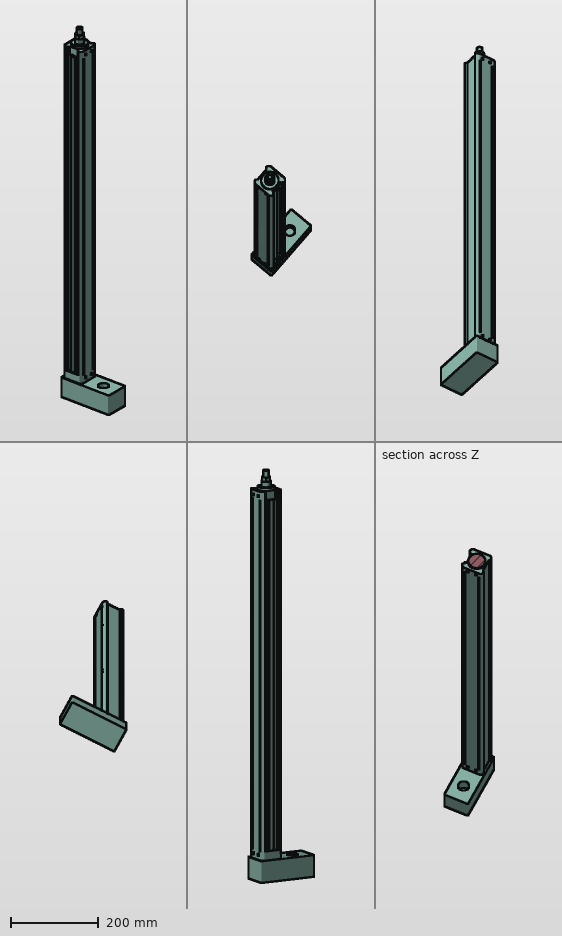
import cadquery as cq

block_length = 140.0
block_width = 60.0
block_height = 50.0
block_edge_radius = 2.0
block_left = -block_width / 2
shaft_hole_diameter = 25.0
shaft_hole_depth = 29.0
shaft_hole_x = block_left + 100.0

tube_width = 54.0
tube_top = 906.0
tube_corner_radius = 8.4
tube_face = tube_width / 2
flat_half_width = tube_face - tube_corner_radius
head_length = 21.0

slot_width = 3.0
slot_depth = 2.0
slot_bottom = block_height + head_length
slot_top = tube_top - head_length

ledge_outer_half_width = 16.0
ledge_inner_half_width = 13.0
ledge_depth = 24.0
head_floor_half_width = 12.0
head_floor_depth = 19.0
channel_floor_half_width = 10.0
channel_floor_depth = 17.0
rib_width = 9.5
rib_face_depth = 25.0

rear_groove_depth = 4.0

screw_hole_diameter = 5.0
screw_hole_depth = 4.0
screw_spacing = 21.0
screw_end_inset = 11.0
screw_heights = (block_height + screw_end_inset, tube_top - screw_end_inset)

collar_diameter = 40.0
collar_top = 913.0
rod_diameter = 22.0
hex_bottom = 925.0
hex_top = 935.0
hex_sides = 6
hex_corner_diameter = 22.0
tip_diameter = 13.0
tip_chamfer = 1.4
rod_top = 951.0


def cylinder(diameter, bottom, top):
    """Upright cylinder on the tube axis."""
    return cq.Workplane("XY").workplane(offset=bottom).circle(diameter / 2).extrude(top - bottom)


def box(x_size, y_size, bottom, top, x=0, y=0):
    """Upright box centred at (x, y)."""
    return (
        cq.Workplane("XY").workplane(offset=bottom).center(x, y).rect(x_size, y_size).extrude(top - bottom)
    )


def make_block():
    """Foot block with a blind shaft hole in its top face."""
    block = box(block_length, block_width, 0, block_height, x=block_left + block_length / 2)
    block = block.edges("|Z").fillet(block_edge_radius)
    hole = (
        cq.Workplane("XY")
        .workplane(offset=block_height - shaft_hole_depth)
        .center(shaft_hole_x, 0)
        .circle(shaft_hole_diameter / 2)
        .extrude(shaft_hole_depth)
    )
    return block.cut(hole)


def make_side_slots():
    """Slots along both edges of the flat of the two X faces."""
    slots = cq.Workplane("XY")
    for x_side in (-1, 1):
        for y_side in (-1, 1):
            x = x_side * (tube_face - slot_depth / 2)
            y = y_side * (flat_half_width - slot_width / 2)
            slots = slots.add(box(slot_depth, slot_width, slot_bottom, slot_top, x, y))
    return slots.combine()


def symmetric_groove(half_outline, bottom, top):
    """Groove in the -Y face from (half width, distance from the axis) points, mouth first."""
    left = [(-half_width, -depth) for half_width, depth in half_outline]
    right = [(half_width, -depth) for half_width, depth in reversed(half_outline)]
    return cq.Workplane("XY").workplane(offset=bottom).polyline(left + right).close().extrude(top - bottom)


def make_front_groove():
    """Ribbed groove along the body and a shallower one without a rib at the head."""
    flank = [
        (flat_half_width, tube_face),
        (ledge_outer_half_width, ledge_depth),
        (ledge_inner_half_width, ledge_depth),
    ]
    head_outline = flank + [(head_floor_half_width, head_floor_depth)]
    body_outline = flank + [(channel_floor_half_width, channel_floor_depth)]
    head = symmetric_groove(head_outline, slot_top, tube_top)
    body = symmetric_groove(body_outline, slot_bottom, slot_top)
    rib_height = rib_face_depth - channel_floor_depth
    rib_y = -(rib_face_depth + channel_floor_depth) / 2
    rib = box(rib_width, rib_height, slot_bottom, slot_top, y=rib_y)
    return body.cut(rib).union(head)


def make_rear_groove():
    """Shallow groove with 45 degree flanks in the +Y face."""
    return (
        cq.Workplane("XY")
        .workplane(offset=block_height)
        .moveTo(-flat_half_width, tube_face)
        .lineTo(flat_half_width, tube_face)
        .lineTo(flat_half_width - rear_groove_depth, tube_face - rear_groove_depth)
        .lineTo(-flat_half_width + rear_groove_depth, tube_face - rear_groove_depth)
        .close()
        .extrude(tube_top - block_height)
    )


def make_screw_holes():
    """Two blind holes near each end of both X faces."""
    holes = cq.Workplane("XY")
    for x_side in (-1, 1):
        points = [(y * screw_spacing / 2, z) for y in (-1, 1) for z in screw_heights]
        face = cq.Workplane("YZ").workplane(offset=x_side * tube_face)
        holes = holes.add(
            face.pushPoints(points).circle(screw_hole_diameter / 2).extrude(-x_side * screw_hole_depth)
        )
    return holes.combine()


def make_tube():
    """Rounded square tube with its slots, grooves and screw holes."""
    tube = box(tube_width, tube_width, block_height, tube_top).edges("|Z").fillet(tube_corner_radius)
    for cutter in (make_side_slots(), make_front_groove(), make_rear_groove(), make_screw_holes()):
        tube = tube.cut(cutter)
    return tube


def make_rod():
    """Collar, round rod, hexagonal wrench section and chamfered tip."""
    wrench_section = (
        cq.Workplane("XY")
        .workplane(offset=hex_bottom)
        .polygon(hex_sides, hex_corner_diameter)
        .extrude(hex_top - hex_bottom)
    )
    tip = cylinder(tip_diameter, hex_top, rod_top).faces(">Z").chamfer(tip_chamfer)
    return (
        cylinder(collar_diameter, tube_top, collar_top)
        .union(cylinder(rod_diameter, collar_top, hex_bottom))
        .union(wrench_section)
        .union(tip)
    )


result = make_block().union(make_tube()).union(make_rod())